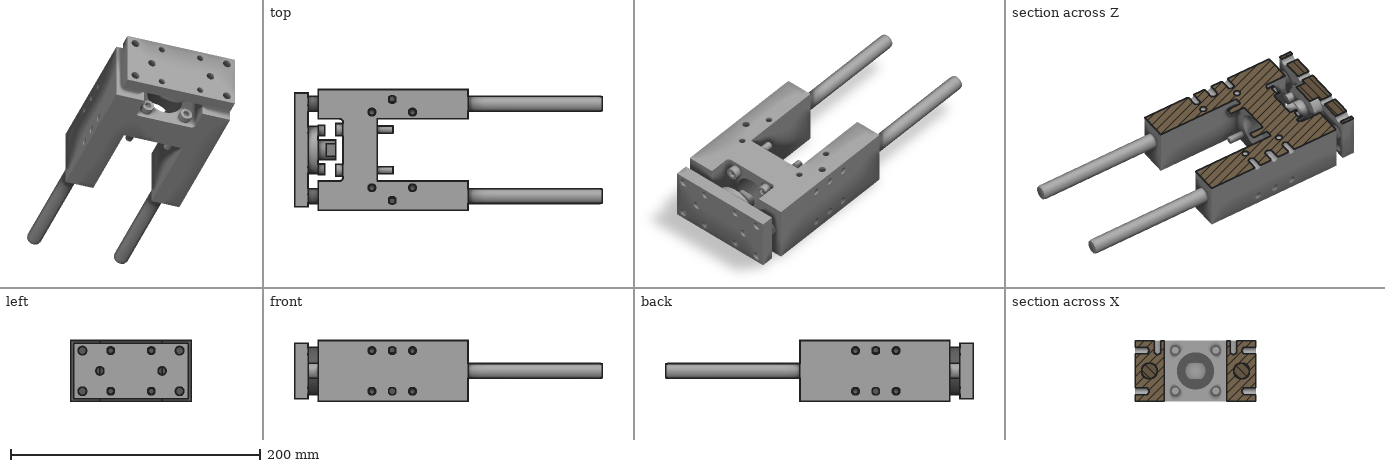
import cadquery as cq
import math

overall_length = 247.0
plate_thickness = 10.9
plate_width = 91.6
plate_height = 44.7

housing_front = 18.8
housing_back = 139.3
housing_width = 97.0
housing_height = 49.0
web_front = 38.8
web_back = 66.5
bay_width = 50.0
bay_corner_radius = 3.0
cylinder_bore_diameter = 30.0

rod_diameter = 12.0
rod_offset = 37.0
rod_chamfer_length = 2.0
rod_chamfer_depth = 0.5

bolt_pitch = 32.5
bolt_half_pitch = bolt_pitch / 2

web_screw_head_diameter = 10.0
web_screw_head_height = 6.0
web_screw_diameter = 6.0
web_screw_end = 79.3
web_screw_chamfer = 0.5
web_screw_socket_across_flats = 5.0
web_screw_socket_depth = 3.0

hole_group_x = 78.3
tapped_diameter = 5.0
tapped_mouth_diameter = 6.0
tapped_depth = 10.0
drill_tip_angle = 118
tapped_top_offset = 30.5
dowel_diameter = 6.0
dowel_depth = 10.0
dowel_top_offset = 40.5

plate_corner_hole_diameter = 6.7
plate_corner_hole_offset = 39.0
plate_dowel_diameter = 6.5
plate_dowel_offset = 25.0

flange_diameter = 38.3
flange_end = housing_front
stub_diameter = 16.0
stub_end = 33.0
stub_flat_length = 7.7
stub_across_flats = 12.5
flange_screw_diameter = 8.6
flange_screw_offset = 15.5
flange_screw_end = 24.2

SIDES = (-1, 1)
bolt_corners = [(y * bolt_half_pitch, z * bolt_half_pitch) for y in SIDES for z in SIDES]


def x_cylinder(diameter, start, end, y=0.0, z=0.0):
    """Cylinder along X between two X positions."""
    return (
        cq.Workplane("YZ", origin=(start, y, z))
        .circle(diameter / 2)
        .extrude(end - start)
    )


def block(start, end, width, height):
    """Box between two X positions, centred on Y and Z."""
    return cq.Workplane("YZ", origin=(start, 0, 0)).rect(width, height).extrude(end - start)


def round_hole(mouth, inward, diameter, depth):
    """Plain flat-ended cutter."""
    return cq.Workplane(cq.Plane(origin=mouth, normal=inward)).circle(diameter / 2).extrude(depth)


def cone_cutter(mouth, inward, depth, start_radius, end_radius, length):
    """Cone that begins at a depth below the mouth of a hole."""
    direction = cq.Vector(*inward)
    base = cq.Vector(*mouth) + direction * depth
    return cq.Workplane(cq.Solid.makeCone(start_radius, end_radius, length, base, direction))


def chamfered_hole(mouth, inward, depth):
    """Flat-ended cutter with a chamfered mouth."""
    radius = tapped_diameter / 2
    mouth_radius = tapped_mouth_diameter / 2
    bore = round_hole(mouth, inward, tapped_diameter, depth)
    return bore.union(cone_cutter(mouth, inward, 0, mouth_radius, radius, mouth_radius - radius))


def tapped_hole(mouth, inward):
    """Blind cutter with a chamfered mouth and a conical drill tip."""
    radius = tapped_diameter / 2
    tip_length = radius / math.tan(math.radians(drill_tip_angle / 2))
    tip = cone_cutter(mouth, inward, tapped_depth, radius, 0, tip_length)
    return chamfered_hole(mouth, inward, tapped_depth).union(tip)


def dowel_hole(mouth, inward):
    """Flat-bottomed blind cutter."""
    return round_hole(mouth, inward, dowel_diameter, dowel_depth)


def make_web_screw(y, z):
    """Hexagon socket head screw through the web, with a chamfered free end."""
    head_front = web_front - web_screw_head_height
    head = x_cylinder(web_screw_head_diameter, head_front, web_front, y, z)
    shank = x_cylinder(web_screw_diameter, web_front, web_screw_end, y, z)
    shank = shank.faces(">X").chamfer(web_screw_chamfer)
    socket_across_corners = web_screw_socket_across_flats / math.cos(math.pi / 6)
    socket = (
        cq.Workplane("YZ", origin=(head_front, y, z))
        .polygon(6, socket_across_corners)
        .extrude(web_screw_socket_depth)
    )
    return head.union(shank).cut(socket)


def cut_top_holes(body):
    """On each arm: two tapped holes and a dowel hole in the top face."""
    top = housing_height / 2
    down = (0, 0, -1)
    for side in SIDES:
        for end in SIDES:
            mouth = (hole_group_x + end * bolt_half_pitch, side * tapped_top_offset, top)
            body = body.cut(tapped_hole(mouth, down))
        body = body.cut(dowel_hole((hole_group_x, side * dowel_top_offset, top), down))
    return body


def cut_side_holes(body):
    """On each outer side: two rows of a dowel hole between two tapped holes."""
    for side in SIDES:
        face = side * housing_width / 2
        inward = (0, -side, 0)
        for row in SIDES:
            z = row * bolt_half_pitch
            for end in SIDES:
                mouth = (hole_group_x + end * bolt_half_pitch, face, z)
                body = body.cut(tapped_hole(mouth, inward))
            body = body.cut(dowel_hole((hole_group_x, face, z), inward))
    return body


def make_housing():
    """H-shaped housing with its web screws."""
    body = block(housing_front, housing_back, housing_width, housing_height)
    front_bay = block(housing_front, web_front, bay_width, housing_height)
    front_bay = front_bay.edges("|Z and >X").fillet(bay_corner_radius)
    rear_bay = block(web_back, housing_back, bay_width, housing_height)
    body = body.cut(front_bay).cut(rear_bay)
    body = body.cut(x_cylinder(cylinder_bore_diameter, web_front, web_back))
    for side in SIDES:
        body = body.cut(x_cylinder(rod_diameter, housing_front, housing_back, side * rod_offset))
    body = cut_top_holes(body)
    body = cut_side_holes(body)
    for y, z in bolt_corners:
        body = body.union(make_web_screw(y, z))
    return body


def make_rod(side):
    """Guide rod from the back of the plate, tapered at its free end."""
    rod = x_cylinder(rod_diameter, plate_thickness, overall_length, side * rod_offset)
    return rod.faces(">X").chamfer(rod_chamfer_length, rod_chamfer_depth)


def make_plate():
    """Front plate with corner holes, dowel holes and chamfered tapped holes."""
    plate = block(0, plate_thickness, plate_width, plate_height)
    for side in SIDES:
        plate = plate.cut(
            x_cylinder(plate_dowel_diameter, 0, plate_thickness, side * plate_dowel_offset)
        )
        for row in SIDES:
            plate = plate.cut(
                x_cylinder(
                    plate_corner_hole_diameter,
                    0,
                    plate_thickness,
                    side * plate_corner_hole_offset,
                    row * bolt_half_pitch,
                )
            )
    for y, z in bolt_corners:
        plate = plate.cut(chamfered_hole((0, y, z), (1, 0, 0), plate_thickness))
    return plate


def make_coupling():
    """Flange with two screw heads and a stub with a pair of wrench flats."""
    coupling = x_cylinder(flange_diameter, plate_thickness, flange_end)
    stub = x_cylinder(stub_diameter, flange_end, stub_end)
    flat_start = stub_end - stub_flat_length
    flats = block(flat_start, stub_end, stub_diameter, stub_diameter).cut(
        block(flat_start, stub_end, stub_diameter, stub_across_flats)
    )
    coupling = coupling.union(stub.cut(flats))
    for side in SIDES:
        head = x_cylinder(
            flange_screw_diameter, flange_end, flange_screw_end, side * flange_screw_offset
        )
        coupling = coupling.union(head)
    return coupling


def make_carriage():
    """Moving body: plate, coupling and both guide rods."""
    carriage = make_plate().union(make_coupling())
    for side in SIDES:
        carriage = carriage.union(make_rod(side))
    return carriage


housing = make_housing()
carriage = make_carriage()

result = cq.Compound.makeCompound([housing.val(), carriage.val()])